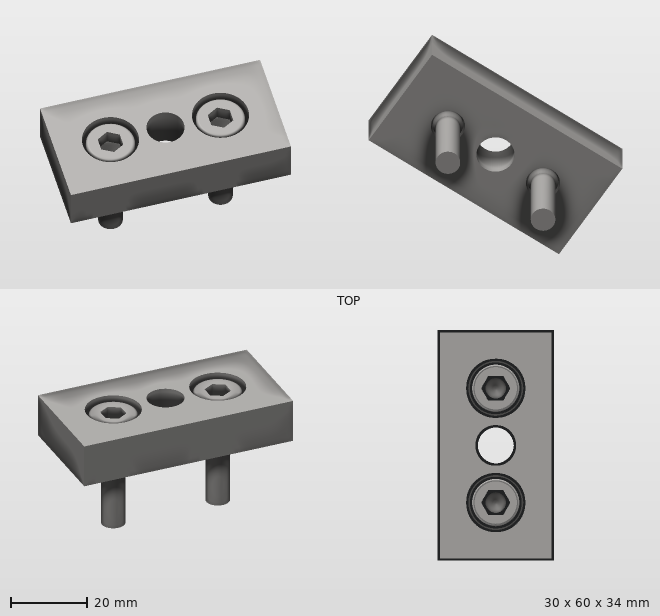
import cadquery as cq
import math

plate_width = 30.0
plate_length = 60.0
plate_thickness = 12.0
center_hole_diameter = 10.0
screw_spacing = 30.0
clearance_diameter = 9.0
counterbore_diameter = 15.0
counterbore_depth = 9.0

thread_diameter = 8.0
core_diameter = 6.47
screw_length = 25.0
head_diameter = 13.0
head_height = thread_diameter
head_edge_radius = 0.8
neck_end_below_plate = 0.75
neck_half_angle = 30.0
socket_width = 6.0
socket_depth = 4.0
socket_tip_angle = 120.0

head_seat = plate_thickness - counterbore_depth
head_top = head_seat + head_height
screw_tip = head_seat - screw_length
neck_end = -neck_end_below_plate

neck_step = (thread_diameter - core_diameter) / 2
neck_start = neck_end + neck_step / math.tan(math.radians(neck_half_angle))

screw_positions = [(0, -screw_spacing / 2), (0, screw_spacing / 2)]


def make_plate():
    """Rectangular plate with a central through hole and two counterbored holes."""
    return (
        cq.Workplane("XY")
        .box(plate_width, plate_length, plate_thickness, centered=(True, True, False))
        .faces(">Z")
        .workplane(origin=(0, 0, plate_thickness))
        .hole(center_hole_diameter)
        .pushPoints(screw_positions)
        .cboreHole(clearance_diameter, counterbore_diameter, counterbore_depth)
    )


def make_socket():
    """Hexagonal key socket, corners along X, with a conical drill tip below."""
    hex_across_corners = socket_width / math.cos(math.pi / 6)
    tip_radius = socket_width / 2
    tip_height = tip_radius / math.tan(math.radians(socket_tip_angle / 2))
    socket_floor = head_top - socket_depth
    hexagon = (
        cq.Workplane("XY", origin=(0, 0, socket_floor))
        .polygon(6, hex_across_corners)
        .extrude(socket_depth)
    )
    drill_tip = (
        cq.Workplane("XZ")
        .moveTo(0, socket_floor)
        .lineTo(tip_radius, socket_floor)
        .lineTo(0, socket_floor - tip_height)
        .close()
        .revolve(360, (0, 0, 0), (0, 1, 0))
    )
    return hexagon.union(drill_tip)


def make_screw(x, y):
    """Cap screw at (x, y): rounded head, full shank, tapered neck and core-diameter end."""
    head = (
        cq.Workplane("XY", origin=(0, 0, head_seat))
        .circle(head_diameter / 2)
        .extrude(head_height)
        .faces(">Z")
        .edges()
        .fillet(head_edge_radius)
    )
    shank = (
        cq.Workplane("XZ")
        .moveTo(0, head_seat)
        .lineTo(thread_diameter / 2, head_seat)
        .lineTo(thread_diameter / 2, neck_start)
        .lineTo(core_diameter / 2, neck_end)
        .lineTo(core_diameter / 2, screw_tip)
        .lineTo(0, screw_tip)
        .close()
        .revolve(360, (0, 0, 0), (0, 1, 0))
    )
    return head.union(shank).cut(make_socket()).translate((x, y, 0))


plate = make_plate()
screws = [make_screw(x, y) for x, y in screw_positions]

result = cq.Compound.makeCompound([plate.val(), *[screw.val() for screw in screws]])